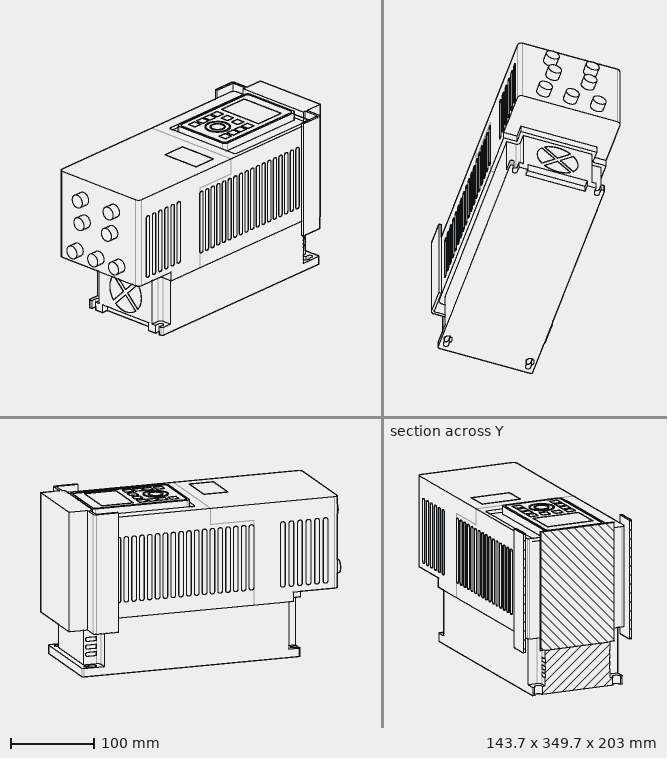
import cadquery as cq


case_width = 129.5
case_length = 308.0
case_top = 195.8
case_bottom = 70.5
cover_bottom = 82.0
shelf_front = 42.3
shelf_half_width = 48.0
shelf_corner_back = 57.5
seam_top_y = 163.3
seam_side_y = 108.0
seam_step_z = 176.0
cover_edge_radius = 5.0
case_edge_radius_left = 5.0
case_edge_radius_right = 2.0

sink_width = 119.2
sink_front = 61.5
sink_back = 296.8
core_width = 86.7
core_front = 47.0
core_back = 317.8
core_fillet = 4.5
flange_thickness = 10.5
flange_back = 325.0
flange_corner_radius = 2.0
mount_slot_x = 51.7
mount_slot_width = 6.3
front_slot_end = 56.5
rear_slot_end = 320.0
keyhole_y = 309.5
keyhole_diameter = 9.8
foot_notch_width = 74.8
foot_notch_depth = 8.5

mark_depth = 0.5

fan_z = 38.8
fan_diameter = 51.5
fan_bar_width = 5.0

vent_width = 6.0
vent_bottom = 89.5
vent_top = 170.5
vent_end_radius = 2.8
case_vent_count = 18
case_vent_span = 170.0
cover_vent_count = 6
cover_vent_first_y = 16.5
cover_vent_span = 54.5
sink_vent_height = 5.0
sink_vent_end_radius = 2.0
sink_vent_back = 315.0
sink_vent_length = 13.5
sink_vent_heights = (23.0, 32.0, 41.5)

recess_left = -48.5
recess_right = 59.0
recess_front = 177.0
recess_back = 307.3
recess_depth = 4.2
recess_radius = 2.8
keypad_width = 79.0
keypad_front = 180.0
keypad_back = 305.2
keypad_top = 202.0
keypad_radius = 4.2
keypad_border = 2.5
screen_width = 60.0
screen_front = 249.3
screen_back = 289.5
key_size = 10.5
key_columns = (-24.8, -8.5, 8.5, 24.8)
key_rows = (236.0, 222.7, 210.0, 196.0)
dial_y = 209.7
dial_rings = ((30.8, 28.0), (18.2, 16.0))
label_left = -1.0
label_right = 49.5
label_front = 117.8
label_back = 148.5

gland_diameter = 16.5
gland_length = 11.2
gland_rows = ((170.5, (-25.0, 25.0)), (141.5, (-22.5, 22.5)), (100.7, (-34.0, 0, 34.0)))

bracket_width = 143.7
bracket_bottom = 55.0
bracket_top = 203.0
bracket_sheet = 3.0
bracket_plate_back = 314.5
wing_front = 283.5
block_width = 98.0
block_back = 338.5


def box(x_min, x_max, y_min, y_max, z_min, z_max):
    """Axis-aligned block between the given limits."""
    size = (x_max - x_min, y_max - y_min, z_max - z_min)
    return cq.Workplane("XY").box(*size, centered=False).translate((x_min, y_min, z_min))


def side_profile(points):
    """Extrude a (Y, Z) outline across the full case width."""
    return cq.Workplane("YZ").polyline(points).close().extrude(case_width / 2, both=True)


def make_front_cover():
    cover = side_profile([
        (0, cover_bottom),
        (shelf_front, cover_bottom),
        (shelf_front, case_bottom),
        (seam_side_y, case_bottom),
        (seam_side_y, seam_step_z),
        (seam_top_y, seam_step_z),
        (seam_top_y, case_top),
        (0, case_top),
    ])
    cover = cover.edges("|Z and <Y").fillet(cover_edge_radius)
    for side in (-1, 1):
        inner, outer = sorted((side * shelf_half_width, side * case_width / 2))
        cover = cover.cut(box(inner, outer, shelf_front, shelf_corner_back, case_bottom, cover_bottom))
    return cover


def make_rear_case():
    case = side_profile([
        (seam_side_y, case_bottom),
        (case_length, case_bottom),
        (case_length, case_top),
        (seam_top_y, case_top),
        (seam_top_y, seam_step_z),
        (seam_side_y, seam_step_z),
    ])
    case = case.edges("|Z and >Y and <X").fillet(case_edge_radius_left)
    return case.edges("|Z and >Y and >X").fillet(case_edge_radius_right)


def make_heat_sink():
    wide = sink_width / 2
    core = core_width / 2
    right_half = [
        (core, core_front),
        (core, sink_front),
        (wide, sink_front),
        (wide, sink_back),
        (core, sink_back),
        (core, core_back),
    ]
    left_half = [(-x, y) for x, y in reversed(right_half)]
    sink = cq.Workplane("XY").polyline(right_half + left_half).close().extrude(case_bottom)
    for y in (sink_front, sink_back):
        for x in (-core, core):
            inner_corner = cq.selectors.NearestToPointSelector((x, y, case_bottom / 2))
            sink = sink.edges(inner_corner).fillet(core_fillet)
    return sink.cut(box(-core, core, case_length, core_back, bracket_bottom, case_bottom))


def make_flange():
    half = sink_width / 2
    flange = box(-half, half, core_front, flange_back, 0, flange_thickness)
    return flange.edges("|Z").fillet(flange_corner_radius)


def cut_flange_slot(body, x, y_start, y_end):
    """Round-ended slot through the mounting flange."""
    length = y_end - y_start
    slot = (
        cq.Workplane("XY")
        .center(x, (y_start + y_end) / 2)
        .slot2D(length, mount_slot_width, 90)
        .extrude(flange_thickness)
    )
    return body.cut(slot, clean=False)


def cut_mounting_slots(body):
    """Open slots at the front corners and keyholes at the back corners."""
    for x in (-mount_slot_x, mount_slot_x):
        body = cut_flange_slot(body, x, core_front - mount_slot_width, front_slot_end)
        body = cut_flange_slot(body, x, keyhole_y, rear_slot_end)
        keyhole = cq.Workplane("XY").center(x, keyhole_y).circle(keyhole_diameter / 2)
        body = body.cut(keyhole.extrude(flange_thickness), clean=False)
    return body


def cut_foot_notch(body):
    """Gap between the two front feet."""
    half = foot_notch_width / 2
    notch = box(-half, half, core_front, core_front + foot_notch_depth, 0, flange_thickness)
    return body.cut(notch, clean=False)


def cut_fan_grille(body):
    """Shallow disc on the front of the heat sink, crossed by two diagonal bars."""
    disc = cq.Workplane("XZ").circle(fan_diameter / 2).extrude(-mark_depth)
    for angle in (45, -45):
        bar = cq.Workplane("XZ").rect(fan_diameter * 2, fan_bar_width).extrude(-mark_depth)
        disc = disc.cut(bar.rotate((0, 0, 0), (0, 1, 0), angle))
    return body.cut(disc.translate((0, core_front, fan_z)), clean=False)


def side_skins(width):
    """X limits of the thin layer under each side face of a body this wide."""
    outer = width / 2
    inner = outer - mark_depth
    return ((-outer, -inner), (inner, outer))


def cut_enclosure_vents(body):
    """Rows of shallow upright vents on both sides of the cover and the case."""
    case_vent_first_y = seam_side_y + vent_width / 2
    case_pitch = case_vent_span / (case_vent_count - 1)
    cover_pitch = cover_vent_span / (cover_vent_count - 1)
    centres = [case_vent_first_y + i * case_pitch for i in range(case_vent_count)]
    centres += [cover_vent_first_y + i * cover_pitch for i in range(cover_vent_count)]
    reach = vent_width / 2
    for y in centres:
        for x_min, x_max in side_skins(case_width):
            vent = box(x_min, x_max, y - reach, y + reach, vent_bottom, vent_top)
            body = body.cut(vent.edges("|X").fillet(vent_end_radius), clean=False)
    return body


def cut_sink_vents(body):
    """Short level vents in both sides of the heat sink core, rounded at the back end."""
    front = sink_vent_back - sink_vent_length
    for z in sink_vent_heights:
        low = z - sink_vent_height / 2
        high = z + sink_vent_height / 2
        for x_min, x_max in side_skins(core_width):
            vent = box(x_min, x_max, front, sink_vent_back, low, high)
            vent = vent.edges("|X and >Y").fillet(sink_vent_end_radius)
            body = body.cut(vent, clean=False)
    return body


def cut_keypad_recess(body):
    recess = box(recess_left, recess_right, recess_front, recess_back, case_top - recess_depth, case_top)
    return body.cut(recess.edges("|Z").fillet(recess_radius), clean=False)


def make_keypad():
    """Keypad standing in the recess, with raised face plate, screen, keys and dial."""
    half = keypad_width / 2
    face_z = keypad_top - mark_depth
    plate_z = face_z - mark_depth
    keypad = box(-half, half, keypad_front, keypad_back, case_top - recess_depth, plate_z)
    keypad = keypad.edges("|Z").fillet(keypad_radius)

    plate_half = half - keypad_border
    plate_front = keypad_front + keypad_border
    plate_back = keypad_back - keypad_border
    plate = box(-plate_half, plate_half, plate_front, plate_back, plate_z, face_z)
    keypad = keypad.union(plate.edges("|Z").fillet(keypad_radius))

    keypad = keypad.union(
        box(-screen_width / 2, screen_width / 2, screen_front, screen_back, face_z, keypad_top)
    )
    for row, y in enumerate(key_rows):
        columns = key_columns if row == 0 else (key_columns[0], key_columns[-1])
        for x in columns:
            reach = key_size / 2
            keypad = keypad.union(box(x - reach, x + reach, y - reach, y + reach, face_z, keypad_top))

    for outer, inner in dial_rings:
        ring = cq.Workplane("XY", origin=(0, dial_y, face_z)).circle(outer / 2).circle(inner / 2)
        keypad = keypad.union(ring.extrude(mark_depth))
    return keypad


def make_label():
    return box(label_left, label_right, label_front, label_back, case_top, case_top + mark_depth)


def make_glands():
    centres = [(x, z) for z, columns in gland_rows for x in columns]
    return cq.Workplane("XZ").pushPoints(centres).circle(gland_diameter / 2).extrude(gland_length)


def make_drive():
    drive = make_front_cover().union(make_rear_case(), clean=False)
    lower = make_heat_sink().union(make_flange())
    lower = cut_mounting_slots(lower)
    lower = cut_foot_notch(lower)
    lower = cut_fan_grille(lower)
    lower = cut_sink_vents(lower)
    drive = cut_enclosure_vents(drive)
    drive = cut_keypad_recess(drive)
    for detail in (lower, make_keypad(), make_label(), make_glands()):
        drive = drive.union(detail, clean=False)
    return drive


def make_bracket():
    """Bent sheet with two forward wings, carrying a block that bears on the back of the case."""
    half = bracket_width / 2
    bracket = box(-half, half, wing_front, bracket_plate_back, bracket_bottom, bracket_top)
    bracket = bracket.edges("|Z and >Y").fillet(bracket_sheet)
    inner = half - bracket_sheet
    plate_front = bracket_plate_back - bracket_sheet
    bracket = bracket.cut(box(-inner, inner, wing_front, plate_front, bracket_bottom, bracket_top))
    block = box(-block_width / 2, block_width / 2, case_length, block_back, bracket_bottom, bracket_top)
    return bracket.union(block)


drive = make_drive()
bracket = make_bracket()
result = cq.Compound.makeCompound([drive.solids().val(), bracket.solids().val()])